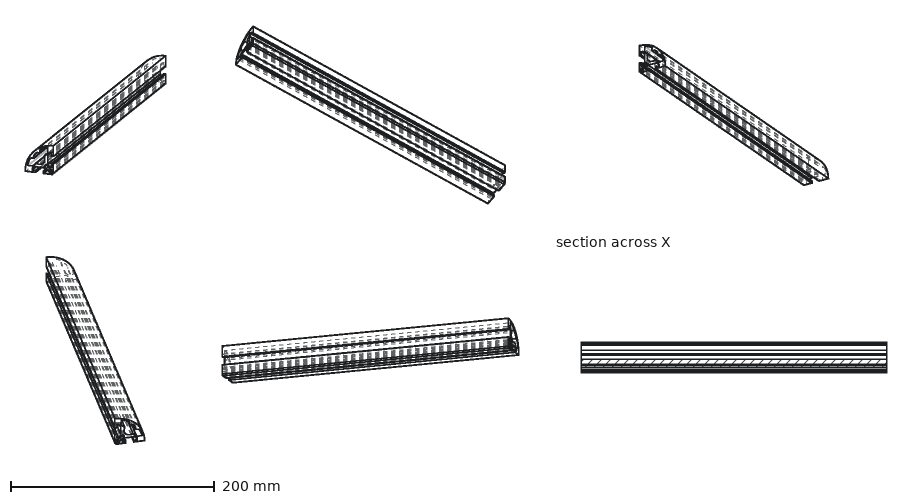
import cadquery as cq
import math

length = 300.0
side = 30.0
center = side / 2
corner_chamfer = 1.5

bore_radius = 6.0

slot_opening = 8.0
slot_lip = 2.0
slot_depth = 6.0
slot_inner_width = 15.3
slot_floor_width = 9.5
slot_shoulder = 3.5

curved_wall = 1.8
cavity_floor = 6.3
cavity_ramp_start = 8.0
cavity_ramp_rise = 3.5
cavity_top = 14.5
cavity_top_fillet = 2.5
cavity_floor_fillet = 0.5

channel_half_width = 1.2
channel_start = 8.7
corner_wall = 1.5
corner_pocket_flare = 4.5
corner_pocket_chamfer = 1.2


def mirror_points(points):
    """Reflect section points about the plane x + z = side."""
    return [(side - z, side - x) for x, z in points]


def prism(points):
    """Extrude a closed polygon over the full length."""
    return cq.Workplane("XZ").polyline(points).close().extrude(-length)


def quarter_round(radius):
    """Solid quarter cylinder centered on the outer corner."""
    middle = side - radius * math.sqrt(0.5)
    return (
        cq.Workplane("XZ")
        .moveTo(side, 0)
        .lineTo(side - radius, 0)
        .threePointArc((middle, side - middle), (side, radius))
        .close()
        .extrude(-length)
    )


body = quarter_round(side)
body = body.edges("|Y").edges(">X and <Z").chamfer(corner_chamfer)

body = body.cut(cq.Workplane("XZ").center(center, center).circle(bore_radius).extrude(-length))

slot_left = [
    (center - slot_opening / 2, 0),
    (center - slot_opening / 2, slot_lip),
    (center - slot_inner_width / 2, slot_lip),
    (center - slot_inner_width / 2, slot_shoulder),
    (center - slot_floor_width / 2, slot_depth),
]
slot = slot_left + [(side - x, z) for x, z in reversed(slot_left)]
body = body.cut(prism(slot)).cut(prism(mirror_points(slot)))

cavity = [
    (0, cavity_floor),
    (cavity_ramp_start, cavity_floor),
    (cavity_ramp_start + cavity_ramp_rise, cavity_floor + cavity_ramp_rise),
    (center, cavity_top),
    (0, cavity_top),
]
inner_round = quarter_round(side - curved_wall)
cavity_void = prism(cavity).intersect(inner_round)
cavity_void = cavity_void.edges("|Y").edges(">Z").edges("<X").fillet(cavity_top_fillet)
cavity_void = cavity_void.edges("|Y").edges("<Z").edges("<X").fillet(cavity_floor_fillet)
mirrored_void = cavity_void.mirror((1, 0, 1), (side, 0, 0))
body = body.cut(cavity_void).cut(mirrored_void)

channel_offset = channel_half_width * math.sqrt(0.5)
flare_start = corner_wall + corner_pocket_chamfer + channel_offset
channel_lower = [
    (side - channel_start - channel_offset, channel_start - channel_offset),
    (side - flare_start - channel_offset, flare_start - channel_offset),
    (side - corner_pocket_flare, corner_wall),
    (side - corner_wall - corner_pocket_chamfer, corner_wall),
]
channel = channel_lower + mirror_points(channel_lower)[::-1]
body = body.cut(prism(channel))

result = body